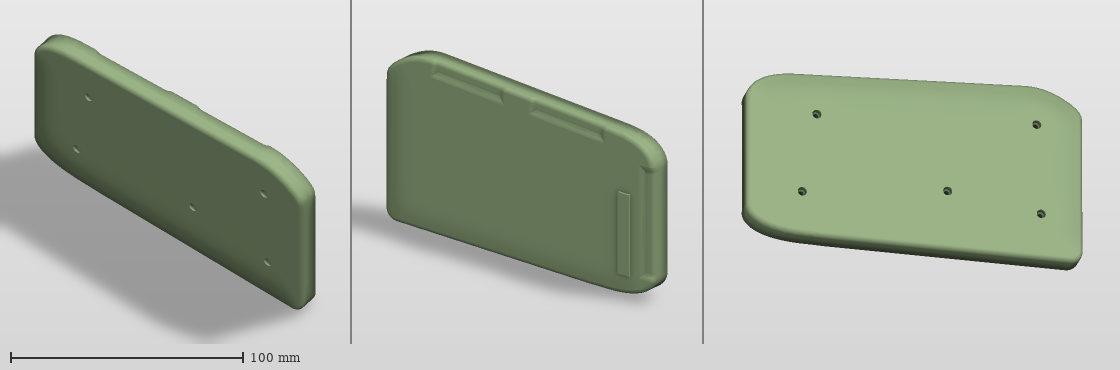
import cadquery as cq
import math

LENGTH = 149.4
BODY_DEPTH = 11.1
PLATE_DEPTH = 2.5
EDGE_RADIUS = 2.0

TOP_SLOPE_ANGLE = 2.87
TOP_SLOPE = math.tan(math.radians(TOP_SLOPE_ANGLE))
TOP_START_X = 27.2
TOP_END_X = 123.5
TOP_END_Z = 81.4
TOP_START_Z = TOP_END_Z - (TOP_END_X - TOP_START_X) * TOP_SLOPE
LEFT_TOP_Z = 63.0
LEFT_BOTTOM_Z = 12.1
RIGHT_TOP_Z = 64.3
RIGHT_BEND_Z = 32.8
RIGHT_FLARE = 0.14
HEEL_RADIUS = 5.7
HEEL_BULGE = HEEL_RADIUS * (1 - math.sqrt(0.5))
BOTTOM_RISE_START_X = 36.7
BOTTOM_RISE_END_X = 32.0
BOTTOM_RISE = 0.15

TOP_LEFT_PULLS = (5.6, 9.6)
TOP_LEFT_MIDDLE = (6.1, 76.3)
TOP_RIGHT_PULLS = (16.5, 8.8)
TOP_RIGHT_MIDDLE = (149.0, 69.6)
BOTTOM_LEFT_PULLS = (11.3, 6.4)
BOTTOM_LEFT_MIDDLE = (8.3, 0.45)

RECESS_DEPTH = 0.9
RECESS_FLOOR = BODY_DEPTH - RECESS_DEPTH
RECESS_RAMP = 3.2
RECESS_REACH = 8.0
RIM_CLEARANCE = 3.0
RIM_TOLERANCE = 0.01
TOP_RECESSES = [(26.6, 68.9), (82.6, TOP_END_X)]
LEFT_RECESS = (10.6, 64.0)

PAD_X = (12.6, 18.9)
PAD_Z = (10.4, 48.6)
PAD_HEIGHT = 1.0

SCREW_POSITIONS = [(31.2, 57.6), (128.7, 63.0), (89.2, 27.5), (24.7, 20.5), (130.7, 21.1)]
HEAD_DIAMETER = 4.0
CLEARANCE_DIAMETER = 2.2
PILOT_DIAMETER = 1.4
CLEARANCE_END = 6.0
PILOT_END = 9.0


def soft_corner(start, start_direction, pulls, middle, end_direction, end):
    """Control points of a corner curve that is tangent to a given direction at each end."""
    start_pull, end_pull = pulls
    leaving = (start[0] + start_pull * start_direction[0], start[1] + start_pull * start_direction[1])
    arriving = (end[0] - end_pull * end_direction[0], end[1] - end_pull * end_direction[1])
    return [start, leaving, middle, arriving, end]


def slab(front, back):
    """Plate with the side outline, filling Y from front to back."""
    slope = math.radians(TOP_SLOPE_ANGLE)
    uphill = (math.cos(slope), math.sin(slope))
    up, down, left = (0, 1), (0, -1), (-1, 0)
    right_x = LENGTH - RIGHT_FLARE
    top_left = soft_corner(
        (0, LEFT_TOP_Z), up, TOP_LEFT_PULLS, TOP_LEFT_MIDDLE, uphill, (TOP_START_X, TOP_START_Z)
    )
    top_right = soft_corner(
        (TOP_END_X, TOP_END_Z), uphill, TOP_RIGHT_PULLS, TOP_RIGHT_MIDDLE, down, (right_x, RIGHT_TOP_Z)
    )
    bottom_left = soft_corner(
        (BOTTOM_RISE_END_X, BOTTOM_RISE), left, BOTTOM_LEFT_PULLS, BOTTOM_LEFT_MIDDLE, up, (0, LEFT_BOTTOM_Z)
    )
    outline = (
        cq.Workplane("XZ", origin=(0, front, 0))
        .moveTo(0, LEFT_TOP_Z)
        .bezier(top_left)
        .lineTo(TOP_END_X, TOP_END_Z)
        .bezier(top_right)
        .lineTo(right_x, RIGHT_BEND_Z)
        .lineTo(LENGTH, HEEL_RADIUS)
        .threePointArc((LENGTH - HEEL_BULGE, HEEL_BULGE), (LENGTH - HEEL_RADIUS, 0))
        .lineTo(BOTTOM_RISE_START_X, 0)
        .lineTo(BOTTOM_RISE_END_X, BOTTOM_RISE)
        .bezier(bottom_left)
        .close()
    )
    return outline.extrude(front - back)


def ramp_down(start):
    """Control points of a smooth ramp from the back face to the recess floor, flat at both ends."""
    middle = start + RECESS_RAMP / 2
    return [(start, BODY_DEPTH), (middle, BODY_DEPTH), (middle, RECESS_FLOOR), (start + RECESS_RAMP, RECESS_FLOOR)]


def ramp_up(end):
    """Control points of the opposite ramp, which reaches the back face at end."""
    return [(2 * end - along, depth) for along, depth in reversed(ramp_down(end))]


def recess_cutter(length, rim_start, rim_angle):
    """Trench that runs along the rim from a point (x, z), at an angle above +X.

    Its two ends and its inner side are ramps, and it is open over the rim.
    """
    along_rim = (
        cq.Workplane("XY", origin=(0, 0, -RECESS_REACH))
        .moveTo(0, BODY_DEPTH)
        .bezier(ramp_down(0))
        .lineTo(length - RECESS_RAMP, RECESS_FLOOR)
        .bezier(ramp_up(length))
        .close()
        .extrude(RECESS_REACH + RIM_CLEARANCE)
    )
    across_rim = (
        cq.Workplane(cq.Plane(origin=(length, 0, 0), xDir=(0, 0, 1), normal=(-1, 0, 0)))
        .moveTo(-RECESS_REACH, BODY_DEPTH)
        .bezier(ramp_down(-RECESS_REACH))
        .lineTo(RIM_CLEARANCE, RECESS_FLOOR)
        .lineTo(RIM_CLEARANCE, BODY_DEPTH)
        .close()
        .extrude(length)
    )
    rim_x, rim_z = rim_start
    trench = along_rim.intersect(across_rim)
    return trench.rotate((0, 0, 0), (0, 1, 0), -rim_angle).translate((rim_x, 0, rim_z))


def round_holes(diameter, front, back):
    """Cylinders along Y, one at each screw position."""
    return (
        cq.Workplane("XZ", origin=(0, front, 0))
        .pushPoints(SCREW_POSITIONS)
        .circle(diameter / 2)
        .extrude(front - back)
    )


def make_back_plate():
    plate = slab(0, PLATE_DEPTH).faces("<Y").edges().fillet(EDGE_RADIUS)
    return plate.cut(round_holes(HEAD_DIAMETER, 0, PLATE_DEPTH))


def back_rim_edges(housing):
    """Edges between the side walls and the back, following the recesses down and up again."""
    wall_edges = [
        edge
        for face in housing.faces().vals()
        if face.BoundingBox().ymin < PLATE_DEPTH + RIM_TOLERANCE
        for edge in face.Edges()
    ]
    return [edge for edge in wall_edges if edge.BoundingBox().ymin > RECESS_FLOOR - RIM_TOLERANCE]


def make_housing():
    housing = slab(PLATE_DEPTH, BODY_DEPTH)
    for start_x, end_x in TOP_RECESSES:
        start_z = TOP_START_Z + (start_x - TOP_START_X) * TOP_SLOPE
        length = (end_x - start_x) * math.hypot(1, TOP_SLOPE)
        housing = housing.cut(recess_cutter(length, (start_x, start_z), TOP_SLOPE_ANGLE))
    left_start_z, left_end_z = LEFT_RECESS
    housing = housing.cut(recess_cutter(left_end_z - left_start_z, (0, left_start_z), 90))
    housing = housing.newObject(back_rim_edges(housing)).fillet(EDGE_RADIUS)

    pad = (
        cq.Workplane("XY")
        .box(PAD_X[1] - PAD_X[0], PAD_HEIGHT, PAD_Z[1] - PAD_Z[0], centered=False)
        .translate((PAD_X[0], BODY_DEPTH, PAD_Z[0]))
    )
    housing = housing.union(pad)
    housing = housing.cut(round_holes(CLEARANCE_DIAMETER, PLATE_DEPTH, CLEARANCE_END))
    return housing.cut(round_holes(PILOT_DIAMETER, CLEARANCE_END, PILOT_END))


back_plate = make_back_plate()
housing = make_housing()

result = cq.Compound.makeCompound([back_plate.val(), housing.val()])